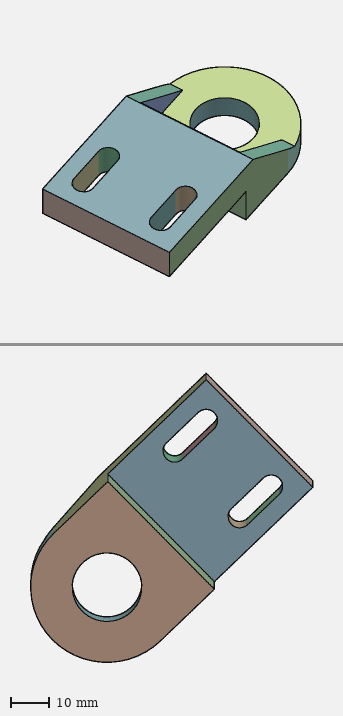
import cadquery as cq

length = 75.7
width = 40.0
height = 20.6
plate_thickness = 9.55
plate_overhang = 35.95

eye_thickness = 7.0
eye_radius = width / 2
eye_center_y = length - eye_radius
eye_hole_diameter = 18.2

slope_top_y = 39.3
slope_bottom_y = 59.35
pocket_width = 31.3
pocket_start_y = 39.7

slot_width = 6.0
slot_length = 17.5
slot_spacing = 24.4
slot_center_y = 13.4


def make_body():
    """Stepped side profile, trimmed to the rounded outline of the eye."""
    profile = (
        cq.Workplane("YZ")
        .moveTo(0, height)
        .lineTo(slope_top_y, height)
        .lineTo(slope_bottom_y, eye_thickness)
        .lineTo(length, eye_thickness)
        .lineTo(length, 0)
        .lineTo(plate_overhang, 0)
        .lineTo(plate_overhang, height - plate_thickness)
        .lineTo(0, height - plate_thickness)
        .close()
        .extrude(width / 2, both=True)
    )
    outline = (
        cq.Workplane("XY")
        .moveTo(-width / 2, 0)
        .lineTo(width / 2, 0)
        .lineTo(width / 2, eye_center_y)
        .threePointArc((0, length), (-width / 2, eye_center_y))
        .close()
        .extrude(height)
    )
    return profile.intersect(outline)


def make_pocket():
    """Space between the cheeks, open above the eye."""
    return (
        cq.Workplane("XY", origin=(0, pocket_start_y, eye_thickness))
        .box(pocket_width, length - pocket_start_y, height - eye_thickness, centered=(True, False, False))
    )


def make_eye_hole():
    return cq.Workplane("XY").center(0, eye_center_y).circle(eye_hole_diameter / 2).extrude(height)


def make_slots():
    return (
        cq.Workplane("XY")
        .pushPoints([(side * slot_spacing / 2, slot_center_y) for side in (-1, 1)])
        .slot2D(slot_length, slot_width, 90)
        .extrude(height)
    )


result = make_body().cut(make_pocket()).cut(make_eye_hole()).cut(make_slots())